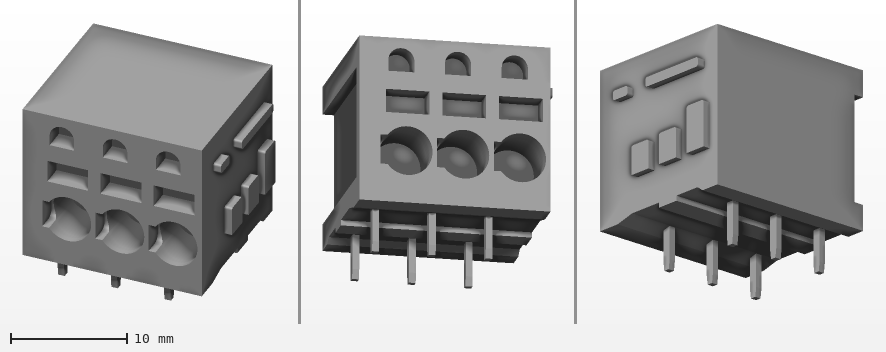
import cadquery as cq


HOUSING_WIDTH = 16.84
HOUSING_DEPTH = 15.2
HOUSING_HEIGHT = 14.8

POLE_COUNT = 3
POLE_PITCH = 5.0
WIRE_X = 4.25

WIRE_Z = 4.68
WIRE_DIAMETER = 4.4
WIRE_DEPTH = 5.0
NOTCH_LEFT = 1.85
NOTCH_HEIGHT = 2.64
NOTCH_DEPTH = 2.0
NOTCH_FILLET = 0.7

WINDOW_WIDTH = 3.85
WINDOW_HEIGHT = 2.09
WINDOW_BOTTOM = 8.05
WINDOW_DEPTH = 2.0

ARCH_X = 3.7
ARCH_WIDTH = 2.3
ARCH_HEIGHT = 2.1
ARCH_BOTTOM = 11.79
ARCH_DEPTH = 2.0

RECESS_DEPTH = 1.0
RECESS_FRONT = 1.19
RECESS_BOTTOM = 2.4
RECESS_TOP = 12.32

RELIEF_HEIGHT = 0.48
RELIEF_FRONT = 2.3
RELIEF_FRONT_SLOPE_END = 4.17
RELIEF_REAR_SLOPE_START = 12.65
RELIEF_REAR = 13.29
FOOT_FRONT = 7.65
FOOT_REAR = 9.92

RIB_FILLET = 0.22
UPPER_RIB_BOTTOM = 11.16
UPPER_RIB_TOP = 12.05
LONG_RIB_PROJECTION = 0.8
LONG_RIB_FRONT = 6.8
LONG_RIB_REAR = 13.58
SHORT_PROJECTION = 0.71
SHORT_RIB_FRONT = 2.5
SHORT_RIB_REAR = 4.37
BLOCK_LENGTH = 2.2
BLOCK_BOTTOM = 3.6
BLOCK_ROW_FRONT = 4.89
BLOCK_ROW_REAR = 14.22
BLOCK_TOPS = [6.31, 6.46, 7.95]

PIN_LEFT = NOTCH_LEFT
PIN_THICKNESS = 0.6
PIN_WIDTH = 0.8
PIN_TIP_WIDTH = 0.57
PIN_TIP_LENGTH = 0.88
OVERALL_HEIGHT = 18.3
PIN_TIP_Z = HOUSING_HEIGHT - OVERALL_HEIGHT
PIN_ROW_FRONT = 3.71
PIN_ROW_SPACING = 8.2
PIN_ROWS = [PIN_ROW_FRONT, PIN_ROW_FRONT + PIN_ROW_SPACING]


def box(x_range, y_range, z_range):
    """A block between two limits along each axis."""
    (x0, x1), (y0, y1), (z0, z1) = x_range, y_range, z_range
    return cq.Workplane("XY").box(x1 - x0, y1 - y0, z1 - z0, centered=False).translate((x0, y0, z0))


def front_sketch_plane():
    """The front face, with local axes X and Z; a cut into the housing extrudes by a negative length."""
    return cq.Workplane("XZ")


def wire_entry(x):
    bore = front_sketch_plane().center(x, WIRE_Z).circle(WIRE_DIAMETER / 2).extrude(-WIRE_DEPTH)
    notch_left = x - WIRE_X + NOTCH_LEFT
    notch_bottom = WIRE_Z - NOTCH_HEIGHT / 2
    notch = box((notch_left, x), (0, NOTCH_DEPTH), (notch_bottom, notch_bottom + NOTCH_HEIGHT))
    notch = notch.faces(">Y").edges("|X").fillet(NOTCH_FILLET)
    return bore.union(notch)


def window(x):
    return box(
        (x - WINDOW_WIDTH / 2, x + WINDOW_WIDTH / 2),
        (0, WINDOW_DEPTH),
        (WINDOW_BOTTOM, WINDOW_BOTTOM + WINDOW_HEIGHT),
    )


def arch(x):
    radius = ARCH_WIDTH / 2
    spring_z = ARCH_BOTTOM + ARCH_HEIGHT - radius
    return (
        front_sketch_plane()
        .moveTo(x - radius, ARCH_BOTTOM)
        .lineTo(x + radius, ARCH_BOTTOM)
        .lineTo(x + radius, spring_z)
        .threePointArc((x, ARCH_BOTTOM + ARCH_HEIGHT), (x - radius, spring_z))
        .close()
        .extrude(-ARCH_DEPTH)
    )


def shell():
    """The housing's block, with its underside relief running across the full width."""
    side_outline = [
        (0, 0),
        (RELIEF_FRONT, 0),
        (RELIEF_FRONT_SLOPE_END, RELIEF_HEIGHT),
        (FOOT_FRONT, RELIEF_HEIGHT),
        (FOOT_FRONT, 0),
        (FOOT_REAR, 0),
        (FOOT_REAR, RELIEF_HEIGHT),
        (RELIEF_REAR_SLOPE_START, RELIEF_HEIGHT),
        (RELIEF_REAR, 0),
        (HOUSING_DEPTH, 0),
        (HOUSING_DEPTH, HOUSING_HEIGHT),
        (0, HOUSING_HEIGHT),
    ]
    return cq.Workplane("YZ").polyline(side_outline).close().extrude(HOUSING_WIDTH)


def side_recess():
    return box((0, RECESS_DEPTH), (RECESS_FRONT, HOUSING_DEPTH), (RECESS_BOTTOM, RECESS_TOP))


def upper_rib(projection, front, rear):
    """A rib rounded along all four edges that run outwards."""
    rib = box(
        (HOUSING_WIDTH, HOUSING_WIDTH + projection),
        (front, rear),
        (UPPER_RIB_BOTTOM, UPPER_RIB_TOP),
    )
    return rib.edges("|X").fillet(RIB_FILLET)


def lower_block(front, top):
    """A lower block, rounded along its two upper edges that run outwards."""
    block = box(
        (HOUSING_WIDTH, HOUSING_WIDTH + SHORT_PROJECTION),
        (front, front + BLOCK_LENGTH),
        (BLOCK_BOTTOM, top),
    )
    return block.faces(">Z").edges("|X").fillet(RIB_FILLET)


def make_pin(left, middle_y):
    """A flat pin tapering to its tip; its top rests on the relief's ceiling."""
    shoulder_z = PIN_TIP_Z + PIN_TIP_LENGTH
    half_width = PIN_WIDTH / 2
    half_tip = PIN_TIP_WIDTH / 2
    outline = [
        (middle_y - half_width, RELIEF_HEIGHT),
        (middle_y - half_width, shoulder_z),
        (middle_y - half_tip, PIN_TIP_Z),
        (middle_y + half_tip, PIN_TIP_Z),
        (middle_y + half_width, shoulder_z),
        (middle_y + half_width, RELIEF_HEIGHT),
    ]
    pin = cq.Workplane("YZ").polyline(outline).close().extrude(PIN_THICKNESS)
    return pin.translate((left, 0, 0))


def make_housing(pins):
    housing = shell().cut(side_recess())
    for pole in range(POLE_COUNT):
        offset = pole * POLE_PITCH
        housing = housing.cut(wire_entry(WIRE_X + offset))
        housing = housing.cut(window(WIRE_X + offset))
        housing = housing.cut(arch(ARCH_X + offset))
    housing = housing.union(upper_rib(LONG_RIB_PROJECTION, LONG_RIB_FRONT, LONG_RIB_REAR))
    housing = housing.union(upper_rib(SHORT_PROJECTION, SHORT_RIB_FRONT, SHORT_RIB_REAR))
    block_spacing = (BLOCK_ROW_REAR - BLOCK_LENGTH - BLOCK_ROW_FRONT) / (len(BLOCK_TOPS) - 1)
    for index, top in enumerate(BLOCK_TOPS):
        housing = housing.union(lower_block(BLOCK_ROW_FRONT + index * block_spacing, top))
    for pin in pins:
        housing = housing.cut(pin)
    return housing


pins = []
for pole in range(POLE_COUNT):
    for row_y in PIN_ROWS:
        pins.append(make_pin(PIN_LEFT + pole * POLE_PITCH, row_y))

housing = make_housing(pins)

result = cq.Compound.makeCompound([housing.val(), *[pin.val() for pin in pins]])